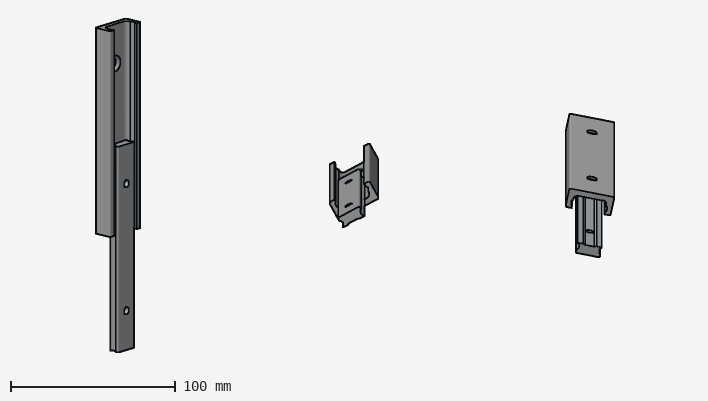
import cadquery as cq
import math


total_height = 204.0
body_length = 130.0
housing_bottom = total_height - body_length

housing_depth = 12.2
housing_width = 28.0
web_thickness = 3.7
channel_width = 20.5
outer_fillet = 1.0
channel_fillet = 2.7

rail_back = 6.3
rail_front = 13.0
rail_width = 15.0
rail_back_fillet = 0.5
rail_front_fillet = 1.0
race_edge_fillet = 0.5
recess_depth = 0.5
recess_floor_width = 5.5
recess_mouth_width = 8.2

race_radius = 2.5
race_x = 8.8
race_spacing = 17.3
race_y = race_spacing / 2

hole_end_distance = 24.9
housing_hole_diameter = 6.0
housing_sink_diameter = 10.0
rail_hole_diameter = 4.5


def box(x_start, x_end, width, bottom):
    """Full-length bar centred on Y, spanning the given X range."""
    depth = x_end - x_start
    return (
        cq.Workplane("XY", origin=(x_start + depth / 2, 0, bottom))
        .rect(depth, width)
        .extrude(body_length)
    )


def ball_races(bottom):
    """Pair of full-length cylinders that cut the ball races."""
    return (
        cq.Workplane("XY", origin=(race_x, 0, bottom))
        .pushPoints([(0, -race_y), (0, race_y)])
        .circle(race_radius)
        .extrude(body_length)
    )


def hole_heights(bottom):
    """Heights of the two mounting holes of a body."""
    return [bottom + hole_end_distance, bottom + body_length - hole_end_distance]


def mounting_holes(diameter, bottom):
    """Pair of holes along X, one near each end of a body."""
    return (
        cq.Workplane("YZ")
        .pushPoints([(0, height) for height in hole_heights(bottom)])
        .circle(diameter / 2)
        .extrude(rail_front)
    )


def countersinks():
    """Pair of cones that widen the housing holes towards the channel."""
    sink_depth = (housing_sink_diameter - housing_hole_diameter) / 2
    sinks = cq.Workplane("XY")
    for height in hole_heights(housing_bottom):
        cone = cq.Solid.makeCone(
            housing_hole_diameter / 2,
            housing_sink_diameter / 2,
            sink_depth,
            pnt=cq.Vector(web_thickness - sink_depth, 0, height),
            dir=cq.Vector(1, 0, 0),
        )
        sinks = sinks.add(cone)
    return sinks.combine()


def make_housing():
    """C-shaped channel with rounded outer corners and a race in each lip."""
    outside = box(0, housing_depth, housing_width, housing_bottom).edges("|Z").fillet(outer_fillet)
    channel = (
        box(web_thickness, rail_front, channel_width, housing_bottom)
        .edges("|Z and <X")
        .fillet(channel_fillet)
    )
    return (
        outside.cut(channel)
        .cut(ball_races(housing_bottom))
        .cut(mounting_holes(housing_hole_diameter, housing_bottom))
        .cut(countersinks())
    )


def rail_recess():
    """Shallow groove with sloping sides along the back of the rail."""
    recess_floor = rail_back + recess_depth
    return (
        cq.Workplane("XY")
        .polyline([
            (rail_back, -recess_mouth_width / 2),
            (recess_floor, -recess_floor_width / 2),
            (recess_floor, recess_floor_width / 2),
            (rail_back, recess_mouth_width / 2),
        ])
        .close()
        .extrude(body_length)
    )


def make_rail():
    """Bar with a race along each side and a recess along its back."""
    bar = (
        box(rail_back, rail_front, rail_width, 0)
        .edges("|Z and <X").fillet(rail_back_fillet)
        .edges("|Z and >X").fillet(rail_front_fillet)
        .cut(ball_races(0))
    )
    race_edge_rise = race_y - rail_width / 2
    race_edge_x = race_x + math.sqrt(race_radius**2 - race_edge_rise**2)
    for side in (-1, 1):
        race_edge = cq.selectors.NearestToPointSelector(
            (race_edge_x, side * rail_width / 2, body_length / 2)
        )
        bar = bar.edges(race_edge).fillet(race_edge_fillet)
    return bar.cut(rail_recess()).cut(mounting_holes(rail_hole_diameter, 0))


housing = make_housing()
rail = make_rail()
result = cq.Compound.makeCompound([housing.val(), rail.val()])